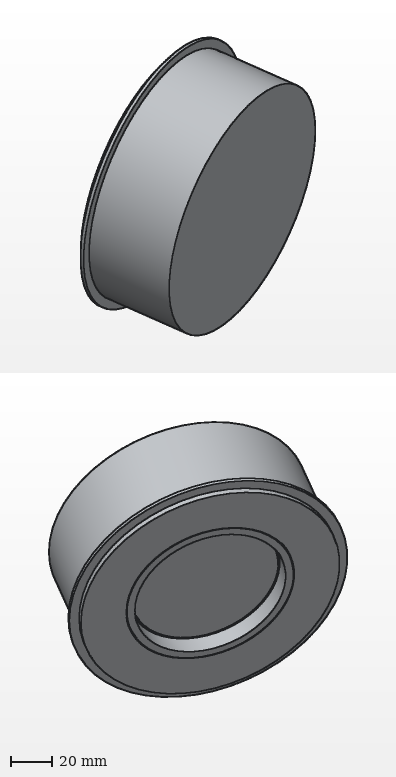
import cadquery as cq

body_diameter = 132.0
body_length = 51.0
flange_diameter = 142.0
flange_offset = 3.0
flange_thickness = 1.8

pocket_diameter = 77.0
pocket_depth = 9.4

groove_width = 0.35
groove_depth = 1.4
face_groove_diameter = 85.8
floor_groove_diameter = 76.1

front_x = -body_length / 2


def disc(diameter, start, length):
    """Cylinder along +X that starts a given distance behind the front face."""
    plane = cq.Workplane("YZ", origin=(front_x + start, 0, 0))
    return plane.circle(diameter / 2).extrude(length)


def ring_groove(outer_diameter, start):
    """Narrow ring that cuts a groove into the surface at the given depth."""
    outer = disc(outer_diameter, start, groove_depth)
    core = disc(outer_diameter - 2 * groove_width, start, groove_depth)
    return outer.cut(core)


body = disc(body_diameter, 0, body_length)
flange = disc(flange_diameter, flange_offset, flange_thickness)
drum = body.union(flange)

pocket = disc(pocket_diameter, 0, pocket_depth)
face_groove = ring_groove(face_groove_diameter, 0)
floor_groove = ring_groove(floor_groove_diameter, pocket_depth)

result = drum.cut(pocket).cut(face_groove).cut(floor_groove)